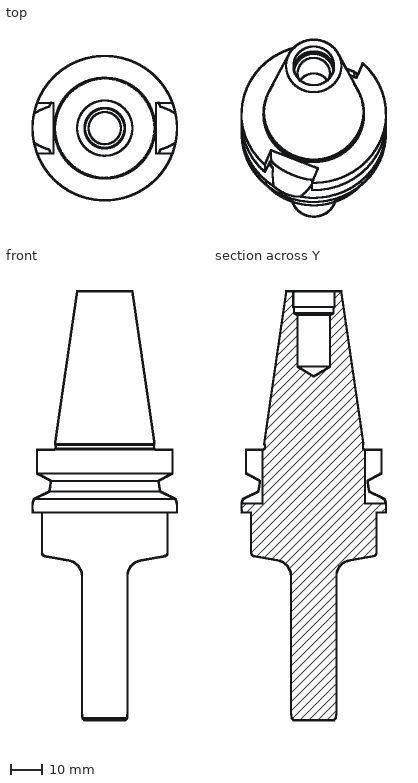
import cadquery as cq
import math

GAUGE_DIAMETER = 31.75
TAPER_RATIO = 7 / 24
TAPER_LENGTH = 48.6

RELIEF_DIAMETER = 31.3
RELIEF_TOP_STEP = 0.4
RELIEF_FLARE = 0.4

FLANGE_DIAMETER = 45.98
FLANGE_TOP_Z = -1.8
FLANGE_BOTTOM_Z = -21.8
GROOVE_CENTRE_Z = -13.42
GROOVE_MOUTH_WIDTH = 8.1
GROOVE_FLOOR_DIAMETER = 37.9
GROOVE_FLANK_ANGLE = 30.0

SLOT_WIDTH = 16.1
SLOT_FLOOR_DISTANCE = 16.3
SLOT_BOTTOM_Z = -18.9

BODY_DIAMETER = 40.0
BODY_END_Z = -35.55
BODY_EDGE_RADIUS = 1.25
SHOULDER_ANGLE = 10.0

SHANK_DIAMETER = 14.5
SHANK_END_DIAMETER = 12.91
SHANK_LEAD_DIAMETER = 14.25
SHANK_LEAD_HEIGHT = 1.2
SHANK_CHAMFER_HEIGHT = 0.7
SHANK_ROOT_RADIUS = 5.0
OVERALL_LENGTH = 136.4

MOUTH_DIAMETER = 12.91
MOUTH_DEPTH = 5.1
PILOT_BORE_DIAMETER = 12.51
PILOT_BORE_DEPTH = 7.0
HOLE_DIAMETER = 10.25
HOLE_DEPTH = 24.0
DRILL_POINT_ANGLE = 118.0


def make_turned_body():
    """Revolve the outside profile about Z and round its shoulder corners."""
    gauge_r = GAUGE_DIAMETER / 2
    taper_end_r = gauge_r - TAPER_LENGTH * TAPER_RATIO / 2
    relief_r = RELIEF_DIAMETER / 2
    flange_r = FLANGE_DIAMETER / 2
    groove_r = GROOVE_FLOOR_DIAMETER / 2
    body_r = BODY_DIAMETER / 2
    shank_r = SHANK_DIAMETER / 2

    half_mouth = GROOVE_MOUTH_WIDTH / 2
    half_floor = half_mouth - (flange_r - groove_r) * math.tan(math.radians(GROOVE_FLANK_ANGLE))
    shoulder_drop = (body_r - shank_r) * math.tan(math.radians(SHOULDER_ANGLE))
    root_z = BODY_END_Z - shoulder_drop
    end_z = TAPER_LENGTH - OVERALL_LENGTH
    chamfer_top_z = end_z + SHANK_CHAMFER_HEIGHT

    profile = (
        cq.Workplane("XZ")
        .moveTo(0, TAPER_LENGTH)
        .lineTo(taper_end_r, TAPER_LENGTH)
        .lineTo(gauge_r, 0)
        .lineTo(relief_r, -RELIEF_TOP_STEP)
        .lineTo(relief_r, FLANGE_TOP_Z + RELIEF_FLARE)
        .lineTo(relief_r + RELIEF_FLARE, FLANGE_TOP_Z)
        .lineTo(flange_r, FLANGE_TOP_Z)
        .lineTo(flange_r, GROOVE_CENTRE_Z + half_mouth)
        .lineTo(groove_r, GROOVE_CENTRE_Z + half_floor)
        .lineTo(groove_r, GROOVE_CENTRE_Z - half_floor)
        .lineTo(flange_r, GROOVE_CENTRE_Z - half_mouth)
        .lineTo(flange_r, FLANGE_BOTTOM_Z)
        .lineTo(body_r, FLANGE_BOTTOM_Z)
        .lineTo(body_r, BODY_END_Z)
        .lineTo(shank_r, root_z)
        .lineTo(shank_r, chamfer_top_z + SHANK_LEAD_HEIGHT)
        .lineTo(SHANK_LEAD_DIAMETER / 2, chamfer_top_z)
        .lineTo(SHANK_END_DIAMETER / 2, end_z)
        .lineTo(0, end_z)
        .close()
    )
    body = profile.revolve(360, (0, 0, 0), (0, 1, 0))
    body = body.edges(circle_at(body_r, BODY_END_Z)).fillet(BODY_EDGE_RADIUS)
    return body.edges(circle_at(shank_r, root_z)).fillet(SHANK_ROOT_RADIUS)


def circle_at(radius, z):
    """Selector for the circular edge of a given radius at height z."""
    margin = 0.05
    reach = radius + margin
    return cq.selectors.BoxSelector(
        (-reach, -reach, z - margin), (reach, reach, z + margin), boundingbox=True
    )


def make_drive_slot(side):
    """Open-topped slot with a semicircular bottom; side is +1 or -1 along X."""
    slot_r = SLOT_WIDTH / 2
    arc_centre_z = SLOT_BOTTOM_Z + slot_r
    depth = FLANGE_DIAMETER / 2 - SLOT_FLOOR_DISTANCE
    return (
        cq.Workplane("YZ", origin=(side * SLOT_FLOOR_DISTANCE, 0, 0))
        .moveTo(-slot_r, FLANGE_TOP_Z)
        .lineTo(-slot_r, arc_centre_z)
        .threePointArc((0, SLOT_BOTTOM_Z), (slot_r, arc_centre_z))
        .lineTo(slot_r, FLANGE_TOP_Z)
        .close()
        .extrude(side * depth)
    )


def make_stud_hole():
    """Stepped blind hole; the lower step and the bottom share the drill-point cone angle."""
    mouth_r = MOUTH_DIAMETER / 2
    bore_r = PILOT_BORE_DIAMETER / 2
    hole_r = HOLE_DIAMETER / 2
    cone_rise = 1 / math.tan(math.radians(DRILL_POINT_ANGLE / 2))
    mouth_z = TAPER_LENGTH - MOUTH_DEPTH
    bore_z = TAPER_LENGTH - PILOT_BORE_DEPTH
    hole_z = TAPER_LENGTH - HOLE_DEPTH
    return (
        cq.Workplane("XZ")
        .moveTo(0, TAPER_LENGTH)
        .lineTo(mouth_r, TAPER_LENGTH)
        .lineTo(mouth_r, mouth_z)
        .lineTo(bore_r, mouth_z)
        .lineTo(bore_r, bore_z)
        .lineTo(hole_r, bore_z - (bore_r - hole_r) * cone_rise)
        .lineTo(hole_r, hole_z)
        .lineTo(0, hole_z - hole_r * cone_rise)
        .close()
        .revolve(360, (0, 0, 0), (0, 1, 0))
    )


result = make_turned_body().cut(make_stud_hole())
for side in (1, -1):
    result = result.cut(make_drive_slot(side))